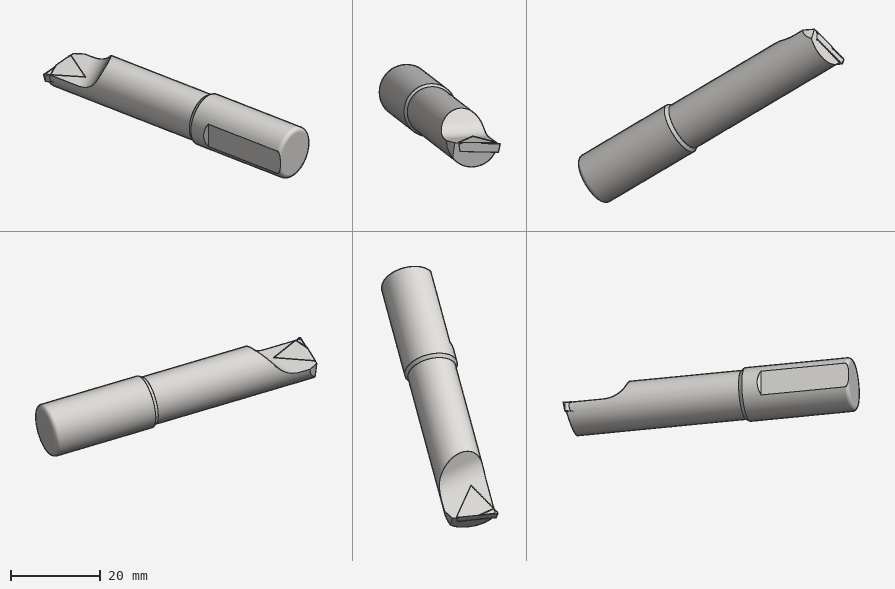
import cadquery as cq
import math

LENGTH = 65.0
NECK_RADIUS = 11.0 / 2
SHANK_RADIUS = 12.0 / 2
SHANK_START = 39.9
STEP_CHAMFER_LENGTH = 0.85
END_FILLET = 1.0

FLAT_START = 44.25
FLAT_Y = -5.25

NOSE_X = 0.45
NOSE_SKEW = 3.0
NOSE_RELIEF = 9.0
CLIP_START = (0.8, 4.3)
CLIP_END = (2.8, 5.45)

FLOOR_Z = 0.1
FLOOR_TILT = 3.2
FLUTE_SKEW = 19.3
FLOOR_END_X = 7.15
HEEL_RADIUS = 5.5
WALL_ANGLE = 60.0

TOP_CORNER = (0.6, 3.3)
REAR_CORNER = (8.45, -1.8)
TIP_ROOT = (1.4, -5.45)
OVERALL_WIDTH = 12.1
TIP_HEEL_X = 0.4
GROOVE_START_Y = -1.8
INSERT_PROUD = 0.1
TIP_DROP = 0.2
INSERT_THICKNESS = 2.15
INSERT_RELIEF = 7.0
TIP_Y = (SHANK_RADIUS - OVERALL_WIDTH) / math.cos(math.radians(FLOOR_TILT))

CUT = 19.5


def tilt_floor(shape):
    """Set a level feature at the height and tilt of the flute floor."""
    return shape.rotate((0, 0, 0), (1, 0, 0), FLOOR_TILT).translate((0, 0, FLOOR_Z))


def bar_blank():
    profile = [
        (0, 0),
        (0, NECK_RADIUS),
        (SHANK_START, NECK_RADIUS),
        (SHANK_START + STEP_CHAMFER_LENGTH, SHANK_RADIUS),
        (LENGTH, SHANK_RADIUS),
        (LENGTH, 0),
    ]
    bar = cq.Workplane("XY").polyline(profile).close().revolve(360, (0, 0, 0), (1, 0, 0))
    return bar.faces(">X").edges().fillet(END_FILLET)


def clamping_flat():
    runout = SHANK_RADIUS + FLAT_Y
    outline = [
        (FLAT_START, -SHANK_RADIUS),
        (FLAT_START + runout, FLAT_Y),
        (LENGTH, FLAT_Y),
        (LENGTH, -SHANK_RADIUS),
    ]
    return cq.Workplane("XY").polyline(outline).close().extrude(SHANK_RADIUS, both=True)


def nose_face():
    """Block in front of the slanted end face."""
    block = cq.Workplane("XY").box(CUT, 2 * CUT, 2 * CUT).translate((-CUT / 2, 0, 0))
    block = block.rotate((0, 0, 0), (0, 1, 0), -NOSE_RELIEF)
    block = block.rotate((0, 0, 0), (0, 0, 1), -NOSE_SKEW)
    return block.translate((NOSE_X, 0, 0))


def nose_clip():
    slope = (CLIP_END[1] - CLIP_START[1]) / (CLIP_END[0] - CLIP_START[0])
    front_y = CLIP_START[1] - slope * CLIP_START[0]
    back_x = (NECK_RADIUS - front_y) / slope
    outline = [(0, front_y), (back_x, NECK_RADIUS), (0, NECK_RADIUS)]
    return cq.Workplane("XY").polyline(outline).close().extrude(NECK_RADIUS, both=True)


def flute():
    wall = math.radians(WALL_ANGLE)
    floor_end = FLOOR_END_X * math.cos(math.radians(FLUTE_SKEW))

    def heel_point(angle):
        return (floor_end + HEEL_RADIUS * math.sin(angle), HEEL_RADIUS * (1 - math.cos(angle)))

    heel_end = heel_point(wall)
    wall_top = (heel_end[0] + (CUT - heel_end[1]) / math.tan(wall), CUT)
    profile = (
        cq.Workplane("XZ")
        .moveTo(-CUT, 0)
        .lineTo(floor_end, 0)
        .threePointArc(heel_point(wall / 2), heel_end)
        .lineTo(*wall_top)
        .lineTo(-CUT, CUT)
        .close()
    )
    return tilt_floor(profile.extrude(CUT, both=True).rotate((0, 0, 0), (0, 0, 1), FLUTE_SKEW))


def chip_groove():
    """Shallow step that lowers the cutting tip below the insert face."""
    front_slope = TOP_CORNER[0] / (TOP_CORNER[1] - TIP_Y)
    groove_x = front_slope * (GROOVE_START_Y - TIP_Y)
    outline = [(-CUT, GROOVE_START_Y), (groove_x, GROOVE_START_Y), TIP_ROOT, (TIP_ROOT[0], -CUT), (-CUT, -CUT)]
    return (
        cq.Workplane("XY", origin=(0, 0, INSERT_PROUD - TIP_DROP))
        .polyline(outline)
        .close()
        .extrude(CUT)
    )


def make_insert():
    tip_shrink = TIP_DROP * math.tan(math.radians(INSERT_RELIEF))
    tip_y = TIP_Y - tip_shrink
    outline = [TOP_CORNER, (-tip_shrink, tip_y), (TIP_HEEL_X, tip_y), TIP_ROOT, REAR_CORNER]
    body = (
        cq.Workplane("XY", origin=(0, 0, INSERT_PROUD))
        .polyline(outline)
        .close()
        .extrude(-INSERT_THICKNESS, taper=INSERT_RELIEF)
    )
    return tilt_floor(body.cut(chip_groove()))


def make_holder(seated_insert):
    holder = bar_blank().cut(clamping_flat()).cut(nose_face()).cut(nose_clip()).cut(flute())
    return holder.cut(seated_insert)


insert = make_insert()
holder = make_holder(insert)
result = cq.Compound.makeCompound([holder.solids().val(), insert.solids().val()])